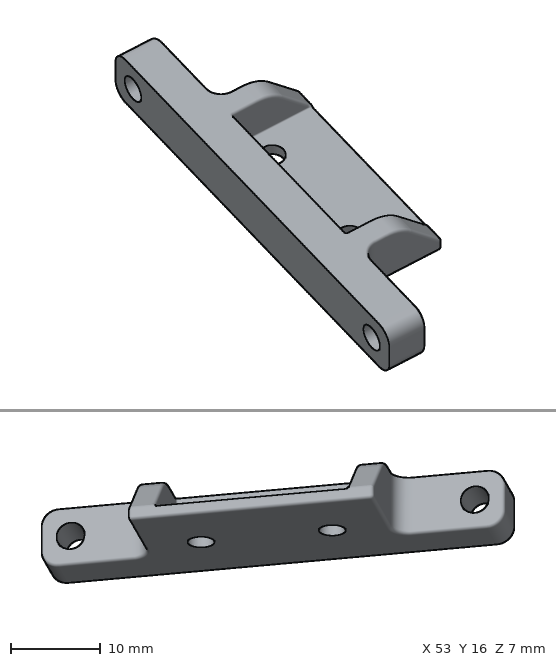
import cadquery as cq
import math

BAR_LENGTH = 53.0
BAR_DEPTH = 5.0
HEIGHT = 7.0
BAR_CORNER_RADIUS = 2.0
BAR_HOLE_DIAMETER = 3.2
BAR_HOLE_SPACING = 46.2

TOTAL_DEPTH = 16.0
BLOCK_WIDTH = 28.0
NOSE_HEIGHT = 1.5
SLOPE_ANGLE = 45.0
BROW_RADIUS = 5.0
BLEND_RADIUS = 2.0

CHEEK_THICKNESS = 3.0
POCKET_WIDTH = BLOCK_WIDTH - 2 * CHEEK_THICKNESS
FLOOR_THICKNESS = NOSE_HEIGHT
POCKET_CORNER_RADIUS = 0.2
POCKET_CLEARANCE = 1.0
FLOOR_HOLE_DIAMETER = 3.0
FLOOR_HOLE_SPACING = 15.0
FLOOR_HOLE_Y = 8.0

EDGE_RADIUS = 0.4

PICK_MARGIN = 0.05


def pick_box(x_range, y_range, z_range):
    """Selector for every edge lying wholly inside the given ranges."""
    low = tuple(r[0] - PICK_MARGIN for r in (x_range, y_range, z_range))
    high = tuple(r[1] + PICK_MARGIN for r in (x_range, y_range, z_range))
    return cq.selectors.BoxSelector(low, high, boundingbox=True)


def make_bar():
    bar = cq.Workplane("XY").box(BAR_LENGTH, BAR_DEPTH, HEIGHT, centered=(True, False, False))
    return bar.edges("|Y").fillet(BAR_CORNER_RADIUS)


def make_block():
    """Side profile in YZ, with an arc easing the flat top into the slope."""
    angle = math.radians(SLOPE_ANGLE)
    slope_top_y = TOTAL_DEPTH - (HEIGHT - NOSE_HEIGHT) / math.tan(angle)
    tangent_length = BROW_RADIUS * math.tan(angle / 2)
    arc_start_y = slope_top_y - tangent_length
    arc_center_z = HEIGHT - BROW_RADIUS

    def on_arc(turn):
        return (arc_start_y + BROW_RADIUS * math.sin(turn), arc_center_z + BROW_RADIUS * math.cos(turn))

    return (
        cq.Workplane("YZ", origin=(-BLOCK_WIDTH / 2, 0, 0))
        .lineTo(TOTAL_DEPTH, 0)
        .lineTo(TOTAL_DEPTH, NOSE_HEIGHT)
        .lineTo(*on_arc(angle))
        .threePointArc(on_arc(angle / 2), on_arc(0))
        .lineTo(0, HEIGHT)
        .close()
        .extrude(BLOCK_WIDTH)
    )


def blend_block_to_bar(body):
    half = BLOCK_WIDTH / 2
    for x in (-half, half):
        body = body.edges(pick_box((x, x), (BAR_DEPTH, BAR_DEPTH), (0, HEIGHT))).fillet(BLEND_RADIUS)
    return body


def round_outer_edges(body):
    """Round the block's side outlines and nose; these run on along the blends and the bar's back face."""
    half = BLOCK_WIDTH / 2
    blend_end_y = BAR_DEPTH + BLEND_RADIUS
    nose = pick_box((-half, half), (TOTAL_DEPTH, TOTAL_DEPTH), (0, NOSE_HEIGHT))
    left_side = pick_box((-half, -half), (blend_end_y, TOTAL_DEPTH), (0, HEIGHT))
    right_side = pick_box((half, half), (blend_end_y, TOTAL_DEPTH), (0, HEIGHT))
    blend_seams = pick_box((-half, half), (blend_end_y, blend_end_y), (0, HEIGHT))
    return body.edges(nose + left_side + right_side - blend_seams).fillet(EDGE_RADIUS)


def cut_pocket(body):
    """Open the pocket upward and past the nose; its floor rolls over at the nose as a rounded lip."""
    half = POCKET_WIDTH / 2
    lip_base_z = FLOOR_THICKNESS - EDGE_RADIUS
    open_end_y = TOTAL_DEPTH + POCKET_CLEARANCE
    open_top_z = HEIGHT + POCKET_CLEARANCE
    pocket = (
        cq.Workplane("YZ", origin=(-half, 0, 0))
        .moveTo(BAR_DEPTH, FLOOR_THICKNESS)
        .lineTo(TOTAL_DEPTH - EDGE_RADIUS, FLOOR_THICKNESS)
        .radiusArc((TOTAL_DEPTH, lip_base_z), EDGE_RADIUS)
        .lineTo(open_end_y, lip_base_z)
        .lineTo(open_end_y, open_top_z)
        .lineTo(BAR_DEPTH, open_top_z)
        .close()
        .extrude(POCKET_WIDTH)
    )
    back_upright = pick_box((-half, half), (BAR_DEPTH, BAR_DEPTH), (FLOOR_THICKNESS, open_top_z))
    back_top = pick_box((-half, half), (BAR_DEPTH, BAR_DEPTH), (open_top_z, open_top_z))
    left_foot = pick_box((-half, -half), (BAR_DEPTH, TOTAL_DEPTH), (lip_base_z, FLOOR_THICKNESS))
    right_foot = pick_box((half, half), (BAR_DEPTH, TOTAL_DEPTH), (lip_base_z, FLOOR_THICKNESS))
    pocket = pocket.edges(back_upright + left_foot + right_foot - back_top).fillet(POCKET_CORNER_RADIUS)
    return body.cut(pocket)


def round_pocket_rim(body):
    """Round the rim where the pocket walls meet the top and the slope."""
    half = POCKET_WIDTH / 2
    rim_back = pick_box((-half, half), (BAR_DEPTH, BAR_DEPTH), (HEIGHT, HEIGHT))
    return body.edges(rim_back).fillet(EDGE_RADIUS)


def drill_holes(body):
    bar_points = [(side * BAR_HOLE_SPACING / 2, HEIGHT / 2) for side in (-1, 1)]
    floor_points = [(side * FLOOR_HOLE_SPACING / 2, FLOOR_HOLE_Y) for side in (-1, 1)]
    bar_drills = cq.Workplane("XZ").pushPoints(bar_points).circle(BAR_HOLE_DIAMETER / 2).extrude(-BAR_DEPTH)
    floor_drills = (
        cq.Workplane("XY").pushPoints(floor_points).circle(FLOOR_HOLE_DIAMETER / 2).extrude(FLOOR_THICKNESS)
    )
    return body.cut(bar_drills).cut(floor_drills)


result = make_bar().union(make_block())
result = blend_block_to_bar(result)
result = round_outer_edges(result)
result = cut_pocket(result)
result = round_pocket_rim(result)
result = drill_holes(result)